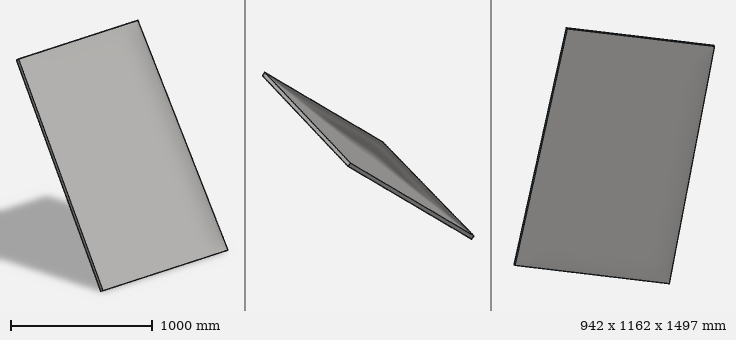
import cadquery as cq
import math

size_x = 942.0
size_z = 1497.0

width_low = 1162.0
width_high = 1110.0

high_end_run = 24.0
high_end_drop = 18.0
low_end_run = 27.0

underside_run = size_x - low_end_run
underside_rise = size_z - high_end_drop
slope = underside_rise / underside_run
low_end_rise = size_z - slope * (size_x - high_end_run)
slope_length = math.hypot(underside_run, underside_rise)


def panel_body():
    """Thin sloping section extruded to the full width along +Y."""
    return (
        cq.Workplane("XZ")
        .polyline([
            (underside_run, 0),
            (size_x, low_end_rise),
            (high_end_run, size_z),
            (0, underside_rise),
        ])
        .close()
        .extrude(-width_low)
    )


def tapered_outline():
    """Prism square to the panel faces whose +Y side carries the taper."""
    margin = 75.0
    taper = (width_low - width_high) / slope_length
    panel_plane = cq.Plane(
        origin=(underside_run, 0, 0),
        xDir=(underside_run, 0, -underside_rise),
        normal=(underside_rise, 0, underside_run),
    )
    high_x = -slope_length - margin
    return (
        cq.Workplane(panel_plane)
        .polyline([
            (margin, 0),
            (margin, width_low + taper * margin),
            (high_x, width_high - taper * margin),
            (high_x, 0),
        ])
        .close()
        .extrude(margin, both=True)
    )


result = panel_body().intersect(tapered_outline())